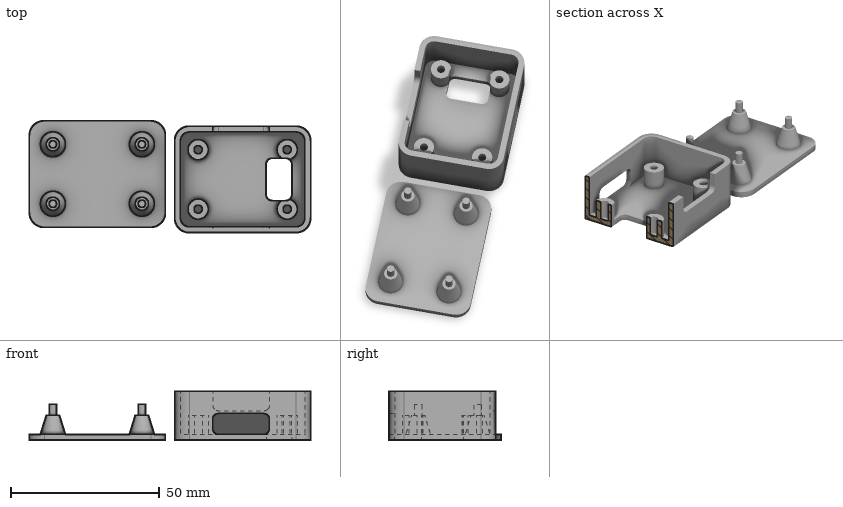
import cadquery as cq

overall_length = 95.0
overall_width = 37.8
gap = 3.0
body_length = (overall_length - gap) / 2
body_width = 36.0
corner_radius = 5.0
post_spacing_x = 30.0
post_spacing_y = 20.0

lid_x = -(body_length + gap) / 2
lid_y = (overall_width - body_width) / 2
case_x = -lid_x
case_y = -lid_y

plate_thickness = 2.0
cone_base_diameter = 8.5
cone_top_diameter = 4.5
cone_top_z = 8.5
pin_diameter = 2.5
pin_top_z = 12.2

case_height = 16.5
wall = 2.0
floor = 2.0

post_diameter = 6.8
post_hole_diameter = 2.8
post_top_z = 8.5

port_length = 19.2
port_offset_x = -0.6
port_height = 7.0
port_radius = 2.0
notch_bottom_z = 10.0
notch_radius = 2.0
window_length = 8.6
window_width = 14.25
window_offset_x = 12.3
window_radius = 2.0


def rounded_block(length, width, height, radius, base_z=0.0):
    """Block centred on the Z axis with rounded vertical edges."""
    return (
        cq.Workplane("XY", origin=(0, 0, base_z))
        .rect(length, width)
        .extrude(height)
        .edges("|Z")
        .fillet(radius)
    )


def post_positions():
    """Corners of the rectangle on which lid pins and case posts stand."""
    return [
        (side_x * post_spacing_x / 2, side_y * post_spacing_y / 2)
        for side_x in (-1, 1)
        for side_y in (-1, 1)
    ]


def make_standoff(x, y):
    """Tapered standoff with a straight pin on top, revolved about its own axis."""
    return (
        cq.Workplane("XZ")
        .moveTo(0, plate_thickness)
        .lineTo(cone_base_diameter / 2, plate_thickness)
        .lineTo(cone_top_diameter / 2, cone_top_z)
        .lineTo(pin_diameter / 2, cone_top_z)
        .lineTo(pin_diameter / 2, pin_top_z)
        .lineTo(0, pin_top_z)
        .close()
        .revolve(360, (0, 0, 0), (0, 1, 0))
        .translate((x, y, 0))
    )


def make_lid():
    """Flat rounded plate carrying four pinned standoffs."""
    lid = rounded_block(body_length, body_width, plate_thickness, corner_radius)
    for x, y in post_positions():
        lid = lid.union(make_standoff(x, y))
    return lid.translate((lid_x, lid_y, 0))


def make_shell():
    """Open-topped box of even wall thickness."""
    outside = rounded_block(body_length, body_width, case_height, corner_radius)
    cavity = rounded_block(
        body_length - 2 * wall,
        body_width - 2 * wall,
        case_height - floor,
        corner_radius - wall,
        floor,
    )
    return outside.cut(cavity)


def make_posts():
    """Four round posts with blind holes, standing on the case floor."""
    return (
        cq.Workplane("XY", origin=(0, 0, floor))
        .pushPoints(post_positions())
        .circle(post_diameter / 2)
        .circle(post_hole_diameter / 2)
        .extrude(post_top_z - floor)
    )


def make_port_cutter():
    """Rounded port through the -Y wall, its lower edge level with the floor."""
    return (
        cq.Workplane("XY")
        .box(port_length, wall, port_height)
        .edges("|Y")
        .fillet(port_radius)
        .translate((port_offset_x, (wall - body_width) / 2, floor + port_height / 2))
    )


def make_notch_cutter():
    """Notch through the +Y wall, open at the rim and rounded at its lower corners."""
    notch_depth = case_height - notch_bottom_z
    return (
        cq.Workplane("XY")
        .box(port_length, wall, notch_depth)
        .edges("|Y and <Z")
        .fillet(notch_radius)
        .translate((port_offset_x, (body_width - wall) / 2, notch_bottom_z + notch_depth / 2))
    )


def make_window_cutter():
    """Rounded window through the floor, which also trims the two nearest posts."""
    window = rounded_block(window_length, window_width, post_top_z, window_radius)
    return window.translate((window_offset_x, 0, 0))


def make_case():
    """Shell with posts, side port, rim notch and floor window."""
    case = make_shell().union(make_posts())
    for cutter in (make_port_cutter(), make_notch_cutter(), make_window_cutter()):
        case = case.cut(cutter)
    return case.translate((case_x, case_y, 0))


lid = make_lid()
case = make_case()

result = cq.Compound.makeCompound([lid.val(), case.val()])